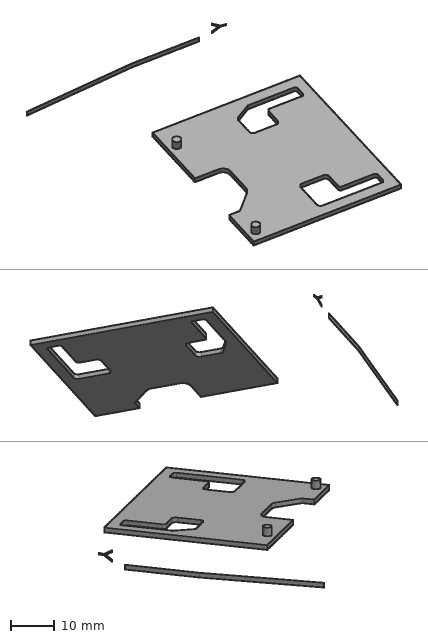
import cadquery as cq
import math


PLATE_WIDTH = 45.5
PLATE_DEPTH = 39.75
PLATE_THICKNESS = 1.2

PIN_DIAMETER = 2.1
PIN_HEIGHT = 2.1
PIN_FRONT_INSET = 2.3
PIN_LEFT_INSET = 7.05
PIN_RIGHT_INSET = 2.9

SLOT_TOP_INSET = 2.8
SLOT_LEFT_INSET = 3.0
SLOT_RIGHT_INSET = 2.9
SLOT_NARROW_WIDTH = 3.55
SLOT_WIDE_WIDTH = 9.2
SLOT_STEP_DROP = 9.95
SLOT_LENGTH = 17.6
SLOT_SLANT_RUN = 2.8
SLOT_SLANT_RISE = 4.6
SLOT_NARROW_RADIUS = 0.6
SLOT_STEP_RADIUS = 0.7
SLOT_WIDE_RADIUS = 1.0

NOTCH_LEFT = 19.1
NOTCH_RIGHT = 34.4
NOTCH_DEPTH = 8.35
NOTCH_CHAMFER = 5.4
NOTCH_UPPER_RADIUS = 2.0
NOTCH_LOWER_RADIUS = 0.5

STRIP_OFFSET = 23.7
STRIP_THICKNESS = 0.05
STRIP_HEIGHT = PLATE_THICKNESS
STRIP_BACK_Y = PLATE_DEPTH - 13.0
STRIP_BEND_Y = PLATE_DEPTH - 31.1
STRIP_FRONT_Y = PLATE_DEPTH - 60.79
STRIP_BEND_ANGLE = 4.45

FORK_BACK_X = 0.97 - STRIP_OFFSET
FORK_BACK_Y = PLATE_DEPTH - 6.25
FORK_TURN = 9.3
FORK_LENGTH = 3.55
FORK_STEM_LENGTH = 1.55
FORK_BAR_WIDTH = 0.4
FORK_THICKNESS = 0.05
FORK_TOP_Z = 4.29
FORK_BOTTOM_Z = 1.4


def rounded_cutter(corners):
    """Plate-thick prism from (x, y, radius) corners; a radius of 0 leaves the corner sharp."""
    outline = [(x, y) for x, y, radius in corners]
    cutter = cq.Workplane("XY").polyline(outline).close().extrude(PLATE_THICKNESS)
    for x, y, radius in corners:
        if radius > 0:
            corner_edge = cq.selectors.NearestToPointSelector((x, y, PLATE_THICKNESS / 2))
            cutter = cutter.edges("|Z").edges(corner_edge).fillet(radius)
    return cutter


def stepped_slot(outer_x, inward, bottom_outer_corners):
    """Slot with a straight outer side; inward is +1 or -1, the X direction of its wide end."""
    top_y = PLATE_DEPTH - SLOT_TOP_INSET
    step_y = top_y - SLOT_STEP_DROP
    bottom_y = top_y - SLOT_LENGTH
    narrow_x = outer_x + inward * SLOT_NARROW_WIDTH
    wide_x = outer_x + inward * SLOT_WIDE_WIDTH
    corners = [
        (outer_x, top_y, SLOT_NARROW_RADIUS),
        (narrow_x, top_y, SLOT_NARROW_RADIUS),
        (narrow_x, step_y, SLOT_STEP_RADIUS),
        (wide_x, step_y, SLOT_WIDE_RADIUS),
        (wide_x, bottom_y, SLOT_WIDE_RADIUS),
    ]
    for run, rise, radius in bottom_outer_corners:
        corners.append((outer_x + inward * run, bottom_y + rise, radius))
    return rounded_cutter(corners)


def front_notch():
    chamfer_start_x = NOTCH_RIGHT - NOTCH_CHAMFER
    chamfer_end_y = NOTCH_DEPTH - NOTCH_CHAMFER
    return rounded_cutter([
        (NOTCH_LEFT, 0, 0),
        (NOTCH_LEFT, NOTCH_DEPTH, NOTCH_UPPER_RADIUS),
        (chamfer_start_x, NOTCH_DEPTH, NOTCH_UPPER_RADIUS),
        (NOTCH_RIGHT, chamfer_end_y, NOTCH_LOWER_RADIUS),
        (NOTCH_RIGHT, 0, 0),
    ])


def make_plate():
    plate = cq.Workplane("XY").box(PLATE_WIDTH, PLATE_DEPTH, PLATE_THICKNESS, centered=False)
    slanted_corner = [(SLOT_SLANT_RUN, 0, SLOT_WIDE_RADIUS), (0, SLOT_SLANT_RISE, 0)]
    square_corner = [(0, 0, SLOT_WIDE_RADIUS)]
    plate = plate.cut(stepped_slot(SLOT_LEFT_INSET, 1, slanted_corner))
    plate = plate.cut(stepped_slot(PLATE_WIDTH - SLOT_RIGHT_INSET, -1, square_corner))
    plate = plate.cut(front_notch())
    pin_points = [(x, PIN_FRONT_INSET) for x in (PIN_LEFT_INSET, PLATE_WIDTH - PIN_RIGHT_INSET)]
    pins = (
        cq.Workplane("XY")
        .pushPoints(pin_points)
        .circle(PIN_DIAMETER / 2)
        .extrude(PLATE_THICKNESS + PIN_HEIGHT)
    )
    return plate.union(pins)


def make_strip():
    outer_x = -STRIP_OFFSET
    bend = math.radians(STRIP_BEND_ANGLE)
    front_shift = (STRIP_BEND_Y - STRIP_FRONT_Y) * math.tan(bend)
    inner_bend_x = outer_x + STRIP_THICKNESS
    slanted_width = STRIP_THICKNESS / math.cos(bend)
    inner_bend_y = STRIP_BEND_Y + STRIP_THICKNESS * math.tan(bend / 2)
    outline = [
        (outer_x, STRIP_BACK_Y),
        (outer_x, STRIP_BEND_Y),
        (outer_x + front_shift, STRIP_FRONT_Y),
        (outer_x + front_shift + slanted_width, STRIP_FRONT_Y),
        (inner_bend_x, inner_bend_y),
        (inner_bend_x, STRIP_BACK_Y),
    ]
    return cq.Workplane("XY").polyline(outline).close().extrude(STRIP_HEIGHT)


def make_fork():
    """Stem running forward from the back end, splitting into two arms with upright ends."""
    half_height = (FORK_TOP_Z - FORK_BOTTOM_Z) / 2
    half_bar = FORK_BAR_WIDTH / 2
    arm_run = FORK_LENGTH - FORK_STEM_LENGTH
    corner_distance = math.hypot(arm_run, half_height)
    arm_angle = math.atan2(half_height, arm_run) - math.asin(half_bar / corner_distance)
    end_height = FORK_BAR_WIDTH / math.cos(arm_angle)
    shoulder = FORK_STEM_LENGTH - half_bar * math.tan(arm_angle / 2)
    crotch = FORK_STEM_LENGTH + half_bar / math.sin(arm_angle)
    outline = [
        (0, half_bar),
        (-shoulder, half_bar),
        (-FORK_LENGTH, half_height),
        (-FORK_LENGTH, half_height - end_height),
        (-crotch, 0),
        (-FORK_LENGTH, end_height - half_height),
        (-FORK_LENGTH, -half_height),
        (-shoulder, -half_bar),
        (0, -half_bar),
    ]
    fork = cq.Workplane("YZ").polyline(outline).close().extrude(FORK_THICKNESS)
    fork = fork.rotate((0, 0, 0), (0, 0, 1), -FORK_TURN)
    return fork.translate((FORK_BACK_X, FORK_BACK_Y, FORK_BOTTOM_Z + half_height))


plate = make_plate()
strip = make_strip()
fork = make_fork()

result = cq.Compound.makeCompound([plate.val(), strip.val(), fork.val()])